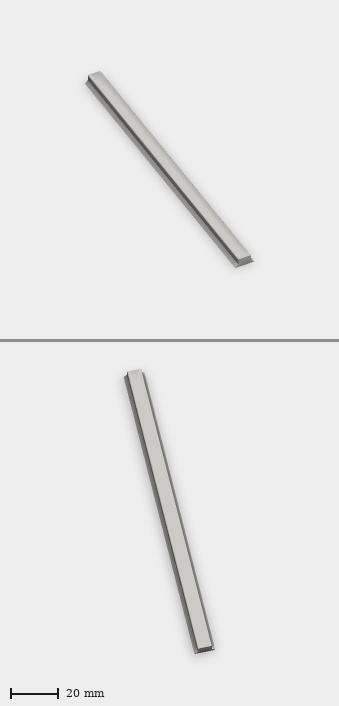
import cadquery as cq

length = 135.2
base_width = 9.0
height = 4.2

body_width = 6.1
flare_height = 1.5
top_radius = 0.5

half_base = base_width / 2
half_body = body_width / 2

profile = [
    (-half_base, 0),
    (half_base, 0),
    (half_body, flare_height),
    (half_body, height),
    (-half_body, height),
    (-half_body, flare_height),
]

bar = cq.Workplane("YZ").polyline(profile).close().extrude(length / 2, both=True)

result = bar.faces(">Z").edges("|X").fillet(top_radius)